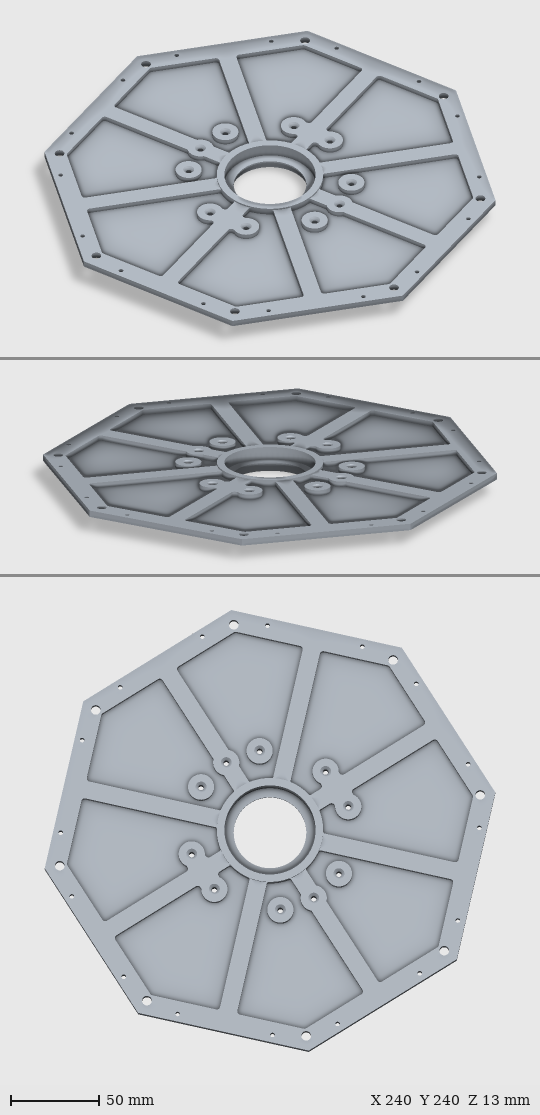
import cadquery as cq
import math

across_flats = 240.0
plate_thickness = 3.8
side_count = 8
side_angle = 360 / side_count
corner_stretch = 1 / math.cos(math.radians(side_angle / 2))

disc_radius = 103.5
disc_thickness = 2.2
hub_radius = 30.2
hub_rise = 1.0
cone_height = 6.0
cone_end_radius = 25.2
recess_radius = 26.0
recess_depth = 7.5
lip_radius = 20.6
lip_thickness = 1.0
bore_radius = 22.0

rim_width = 11.8
pocket_depth = 3.0
spoke_width = 10.0
pocket_corner_radius = 2.0
boss_blend_radius = 1.0

boss_circle_radius = 46.5
boss_radius = 7.5
paired_boss_angles = (75, 105, 255, 285)
other_boss_angles = (0, 25, 155, 180, 205, 335)
bridge_width = 12.2
screw_hole_diameter = 3.0
countersink_diameter = 6.2
countersink_angle = 90

corner_hole_radius = 121.2
corner_hole_diameter = 5.5
edge_hole_inset = 4.3
edge_hole_offset = 27.5
edge_hole_diameter = 2.6

plate_top = plate_thickness
blend_reach = boss_circle_radius + boss_radius
pocket_floor = plate_top - pocket_depth
hub_top = plate_top + hub_rise
cone_top = -disc_thickness
cone_bottom = cone_top - cone_height


def octagon(flats, bottom, height):
    """Octagonal prism with flats facing the X and Y axes."""
    return (
        cq.Workplane("XY", origin=(0, 0, bottom))
        .transformed(rotate=(0, 0, side_angle / 2))
        .polygon(side_count, flats * corner_stretch)
        .extrude(height)
    )


def cylinder(radius, bottom, top):
    return cq.Workplane("XY", origin=(0, 0, bottom)).circle(radius).extrude(top - bottom)


def on_circle(radius, angle):
    turn = math.radians(angle)
    return (radius * math.cos(turn), radius * math.sin(turn))


def spokes():
    """Bars across the whole plate, one for each pair of opposite sides."""
    floor = cq.Workplane("XY", origin=(0, 0, pocket_floor))
    bars = floor.rect(across_flats, spoke_width).extrude(pocket_depth)
    for index in range(1, side_count // 2):
        bar = floor.rect(across_flats, spoke_width).extrude(pocket_depth)
        bars = bars.union(bar.rotate((0, 0, 0), (0, 0, 1), index * side_angle))
    return bars


def bridges():
    """Bars that tie each pair of bosses to the spoke between them."""
    boss_x, boss_y = on_circle(boss_circle_radius, paired_boss_angles[0])
    return (
        cq.Workplane("XY", origin=(0, 0, pocket_floor))
        .pushPoints([(0, boss_y), (0, -boss_y)])
        .rect(2 * abs(boss_x), bridge_width)
        .extrude(pocket_depth)
    )


def pockets():
    """Space cut from the plate, with its upright corners rounded."""
    space = octagon(across_flats - 2 * rim_width, pocket_floor, pocket_depth)
    space = space.cut(spokes()).cut(bridges())
    space = space.edges("|Z").fillet(pocket_corner_radius)
    space = space.cut(cylinder(hub_radius, pocket_floor, plate_top)).cut(bosses())
    inner_zone = cq.selectors.BoxSelector(
        (-blend_reach, -blend_reach, pocket_floor - 2.5), (blend_reach, blend_reach, plate_top + 2.5)
    )
    return space.edges("|Z").edges(inner_zone).fillet(boss_blend_radius)


boss_centres = [on_circle(boss_circle_radius, angle) for angle in paired_boss_angles + other_boss_angles]


def bosses():
    return (
        cq.Workplane("XY", origin=(0, 0, pocket_floor))
        .pushPoints(boss_centres)
        .circle(boss_radius)
        .extrude(pocket_depth)
    )


def hub():
    """Raised ring above the plate and cone below it."""
    cone = (
        cq.Workplane("XY", origin=(0, 0, cone_bottom))
        .circle(cone_end_radius)
        .workplane(offset=cone_height)
        .circle(hub_radius)
        .loft()
    )
    return cone.union(cylinder(hub_radius, cone_top, hub_top))


def edge_hole_centres():
    centres = []
    distance = across_flats / 2 - edge_hole_inset
    for side in range(side_count):
        along_x, along_y = on_circle(1, side * side_angle)
        for offset in (-edge_hole_offset, edge_hole_offset):
            centres.append((distance * along_x - offset * along_y, distance * along_y + offset * along_x))
    return centres


def through_holes(centres, diameter):
    """Pins that cut holes through the rim."""
    return cq.Workplane("XY").pushPoints(centres).circle(diameter / 2).extrude(plate_thickness)


corner_hole_centres = [
    on_circle(corner_hole_radius, (corner + 0.5) * side_angle) for corner in range(side_count)
]

result = octagon(across_flats, 0, plate_thickness).cut(pockets())
result = result.union(cylinder(disc_radius, -disc_thickness, 0)).union(hub())
result = result.cut(cylinder(recess_radius, hub_top - recess_depth, hub_top))
result = result.cut(cylinder(lip_radius, cone_bottom, hub_top))
result = result.cut(cylinder(bore_radius, cone_bottom, hub_top - recess_depth - lip_thickness))
result = result.cut(through_holes(corner_hole_centres, corner_hole_diameter))
result = result.cut(through_holes(edge_hole_centres(), edge_hole_diameter))
result = (
    result.copyWorkplane(cq.Workplane("XY", origin=(0, 0, plate_top)))
    .pushPoints(boss_centres)
    .cskHole(screw_hole_diameter, countersink_diameter, countersink_angle)
)